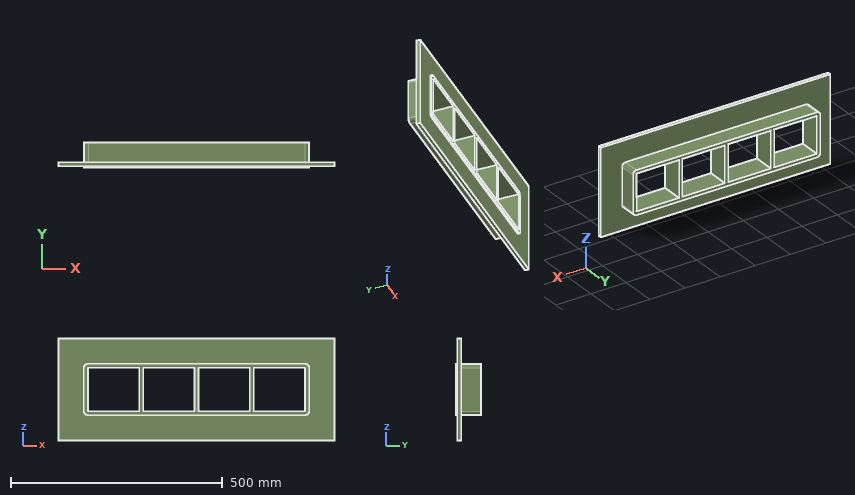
import cadquery as cq

plate_length = 652.0
plate_height = 241.0
plate_thickness = 10.0

plate_margin = 60.0
box_depth = 60.0
front_lip = 3.0
box_length = plate_length - 2 * plate_margin
box_height = plate_height - 2 * plate_margin
corner_radius = 10.0

window_count = 4
wall = 10.0
window_width = (box_length - (window_count + 1) * wall) / window_count
window_height = box_height - 2 * wall
window_pitch = window_width + wall


def block(length, depth, height, front_y):
    """Block centred in X and Z, running from front_y toward +Y."""
    return cq.Workplane("XY").box(length, depth, height).translate((0, front_y + depth / 2, 0))


def make_plate():
    return block(plate_length, plate_thickness, plate_height, front_lip)


def make_box():
    box = block(box_length, box_depth, box_height, 0)
    return box.edges("|Y").fillet(corner_radius)


def cut_windows(body):
    """Cut the row of windows through the full depth of the box."""
    for index in range(window_count):
        center_x = (index - (window_count - 1) / 2) * window_pitch
        window = block(window_width, box_depth, window_height, 0)
        body = body.cut(window.translate((center_x, 0, 0)))
    return body


result = cut_windows(make_plate().union(make_box()))